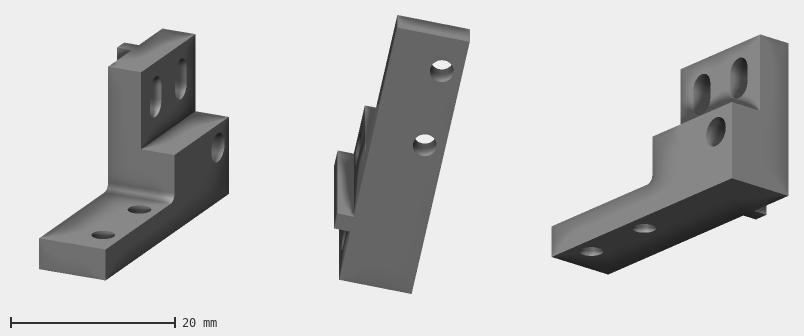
import cadquery as cq

length = 34.0
height = 20.0
rib_depth = 2.0
body_width = 9.0

upright_length = 15.0
upper_width = 4.5
step_height = 10.0
foot_height = 4.0
corner_radius = 1.0

rib_width = 2.0
rib_offset = 6.5

slot_width = 3.2
slot_height = 5.2
slot_drop = 4.5
slot_offsets = (4.0, 11.0)
side_hole_diameter = 3.7
side_hole_offset = 3.0
side_hole_height = 7.0

foot_hole_diameter = 2.9
foot_hole_inset = 2.5
foot_hole_front = 4.5
foot_hole_spacing = 10.0
foot_hole_count = 2


def make_body():
    """L-shaped side profile with a step in the upper +X half."""
    upright_front = length - upright_length
    body = (
        cq.Workplane("YZ")
        .moveTo(0, 0)
        .lineTo(length, 0)
        .lineTo(length, height)
        .lineTo(upright_front, height)
        .lineTo(upright_front, foot_height + corner_radius)
        .radiusArc((upright_front - corner_radius, foot_height), corner_radius)
        .lineTo(0, foot_height)
        .close()
        .extrude(body_width)
    )
    step = cq.Workplane("XY").box(
        body_width - upper_width, length, height - step_height, centered=False
    ).translate((upper_width, 0, step_height))
    return body.cut(step)


def make_rib():
    """Full-height rib on the -X face."""
    return cq.Workplane("XY").box(rib_depth, rib_width, height, centered=False).translate(
        (-rib_depth, length - rib_offset - rib_width, 0)
    )


def make_side_openings():
    """Two upright slots and one round hole, all along X."""
    slot_centres = [(length - offset, height - slot_drop) for offset in slot_offsets]
    slots = (
        cq.Workplane("YZ")
        .pushPoints(slot_centres)
        .slot2D(slot_height, slot_width, 90)
        .extrude(body_width)
    )
    hole = (
        cq.Workplane("YZ")
        .center(length - side_hole_offset, side_hole_height)
        .circle(side_hole_diameter / 2)
        .extrude(body_width)
    )
    return slots.union(hole)


def make_foot_holes():
    """Row of vertical holes along the foot."""
    hole_x = body_width - foot_hole_inset
    centres = [(hole_x, foot_hole_front + i * foot_hole_spacing) for i in range(foot_hole_count)]
    return (
        cq.Workplane("XY")
        .pushPoints(centres)
        .circle(foot_hole_diameter / 2)
        .extrude(foot_height)
    )


result = make_body().union(make_rib()).cut(make_side_openings()).cut(make_foot_holes())